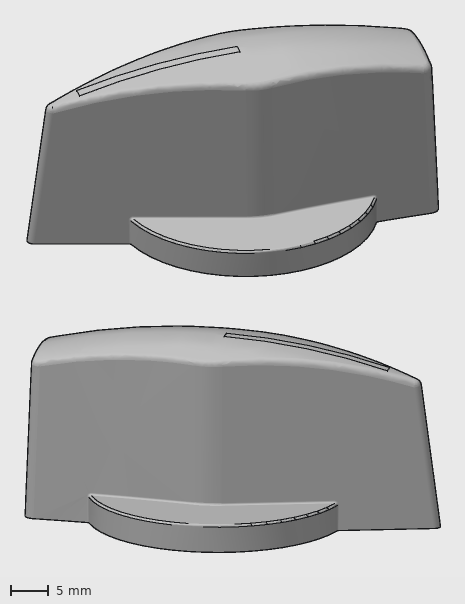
import cadquery as cq
import math

back_y = 25.0
tip_y = -30.0
back_half_width = 6.55
belt_half_width = 8.85
belt_y = -0.3
flank_radius = 200.0
draft_angle = 2.0
tip_radius = 1.0
belt_radius = 9.0
back_corner_radius = 1.5
top_edge_radius = 1.0

height = 24.95
crown_y = 2.0
crown_length_radius = 90.0
crown_cross_radius = 20.0
crown_half_width = 15.0
crown_bottom_z = -20.0
crown_sweep_angle = 80.0

flange_diameter = 35.0
flange_height = 3.8
flange_fillet = 0.3

inlay_width = 1.5
inlay_back_y = -1.0
inlay_front_y = -23.0
inlay_depth = 0.5

margin = 0.01


def sharp_tip_y():
    """Y of the corner where the front flanks would meet without the tip rounding."""
    center_y = tip_y + tip_radius
    reach = math.hypot(belt_half_width, belt_y - center_y)
    to_belt = math.atan2(belt_half_width, belt_y - center_y)
    half_angle = to_belt - math.asin(tip_radius / reach)
    return center_y - tip_radius / math.sin(half_angle)


def flank_midpoint():
    """Middle point of the hollow right rear flank between belt and back corner."""
    run_x = back_half_width - belt_half_width
    run_y = back_y - belt_y
    chord = math.hypot(run_x, run_y)
    sagitta = flank_radius - math.sqrt(flank_radius**2 - (chord / 2) ** 2)
    mid_x = (belt_half_width + back_half_width) / 2 - sagitta * run_y / chord
    mid_y = (belt_y + back_y) / 2 + sagitta * run_x / chord
    return mid_x, mid_y


def crown(drop=0.0):
    """Solid that fills the space under the crowned top, lowered by drop."""
    top_z = height - drop
    cross_radius = crown_cross_radius - drop
    side_z = top_z - cross_radius + math.sqrt(cross_radius**2 - crown_half_width**2)
    axis_z = height - crown_length_radius
    sweep = (
        cq.Workplane("XZ", origin=(0, crown_y, 0))
        .moveTo(-crown_half_width, crown_bottom_z)
        .lineTo(crown_half_width, crown_bottom_z)
        .lineTo(crown_half_width, side_z)
        .threePointArc((0, top_z), (-crown_half_width, side_z))
        .close()
        .revolve(crown_sweep_angle, (0, axis_z), (1, axis_z))
    )
    return sweep.rotate((0, crown_y, axis_z), (1, crown_y, axis_z), -crown_sweep_angle / 2)


def drafted_prism():
    """Sharp-cornered grip outline, drawn inward as it rises."""
    mid_x, mid_y = flank_midpoint()
    return (
        cq.Workplane("XY")
        .moveTo(0, sharp_tip_y())
        .lineTo(belt_half_width, belt_y)
        .threePointArc((mid_x, mid_y), (back_half_width, back_y))
        .lineTo(-back_half_width, back_y)
        .threePointArc((-mid_x, mid_y), (-belt_half_width, belt_y))
        .close()
        .extrude(height, taper=draft_angle)
    )


def upright_edges(low_y, high_y):
    """Selector for the upright corner edges between two Y positions."""
    return cq.selectors.BoxSelector(
        (-belt_half_width, low_y, height / 4),
        (belt_half_width, high_y, height * 2 / 3),
    )


def make_grip():
    grip = drafted_prism().intersect(crown())
    belt_edges = upright_edges(belt_y - belt_radius / 2, belt_y + belt_radius / 2)
    grip = grip.edges(belt_edges).fillet(belt_radius)
    tip_edge = upright_edges(sharp_tip_y(), tip_y / 2)
    grip = grip.edges(tip_edge).fillet(tip_radius)
    back_edges = upright_edges(back_y / 2, back_y)
    grip = grip.edges(back_edges).fillet(back_corner_radius)
    return grip.faces(">Z").edges().fillet(top_edge_radius)


def make_flange():
    disc = cq.Workplane("XY").circle(flange_diameter / 2).extrude(flange_height)
    return disc.faces(">Z").edges().fillet(flange_fillet)


def make_inlay():
    length = inlay_back_y - inlay_front_y
    middle_y = (inlay_back_y + inlay_front_y) / 2
    strip = cq.Workplane("XY").center(0, middle_y).rect(inlay_width, length).extrude(height)
    return strip.intersect(crown()).cut(crown(inlay_depth))


def make_knob(inlay):
    """Grip and flange in one piece, with the recess that holds the inlay."""
    knob = make_grip().union(make_flange())
    foot_edges = cq.selectors.BoxSelector(
        (-belt_half_width, -flange_diameter / 2, margin),
        (belt_half_width, flange_diameter / 2, flange_height + margin),
    )
    knob = knob.edges(foot_edges).fillet(flange_fillet)
    return knob.cut(inlay)


indicator_inlay = make_inlay()
knob = make_knob(indicator_inlay)

result = cq.Compound.makeCompound([knob.val(), indicator_inlay.val()])